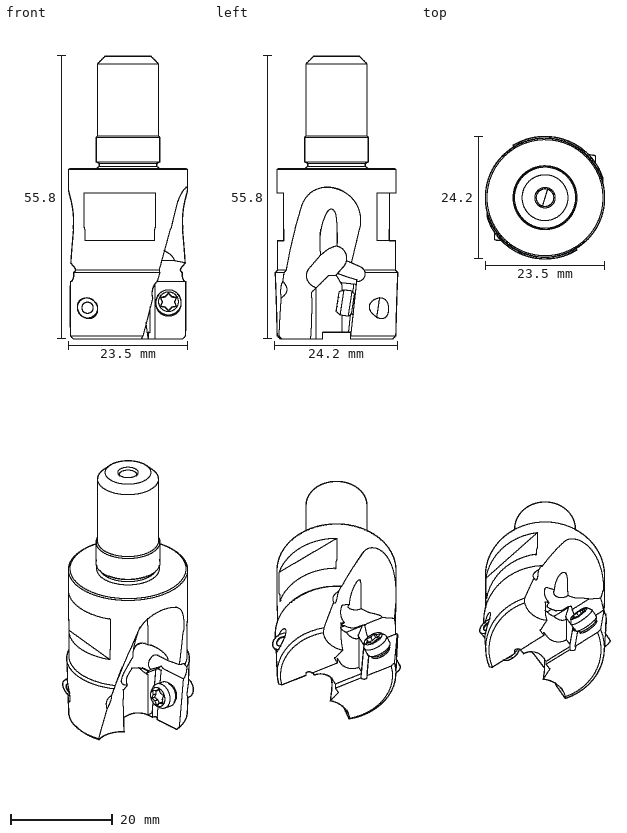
import cadquery as cq
import math

total_length = 55.75
shank_r = 6.0
shank_chamfer = 1.5
collar_r = 6.3
collar_top = 40.0
collar_bottom = 34.9
collar_edge = 0.3
neck_r = 5.7
neck_base_r = 6.2
neck_height = 0.45
shoulder_z = 33.6
body_r = 11.75
body_edge_width = 0.35
body_edge_height = 0.2
waist_r = 11.65
waist_top = 21.5
waist_step = 0.5
waist_bottom = 13.6
head_r = 12.1
head_top = 13.1
head_end_r = 11.7
end_chamfer = 0.65

flat_distance = 9.35
flat_angle = -10.0
flat_bottom = 19.4
flat_top = 28.75

flute_r = 5.95
flute_corner_r = 4.45
flute_depth = 5.75
flute_end = (-11.65, 1.35, 23.75)
flute_lean = 14.5
flute_drop = 14.5
flute_yaw = 23.0
flute_length = 33.45
flute_open = 11.15

seat_y = -2.75
seat_tilt = 6.2
pocket_wall_x = -4.35
wall_height = 1.6
hollow_r = 2.75
seat_height = 6.7
pocket_side_y = 4.0
pocket_flare = 25.0
seat_top = 13.4
seat_corner = 2.5
roof_outline = ((6.7, 7.45), (1.55, 12.55), (0.0, 12.55), (-1.4, 10.15))
relief_x = -4.7
relief_r = 0.6
end_slot_depth = 1.35

pocket_groove_r = 1.5
pocket_groove_floor = -4.75
pocket_groove_ends = ((-4.1, 12.9), (-0.2, 14.6))
flute_groove_r = 2.45
flute_groove_floor = -2.25
flute_groove_ends = ((3.55, 12.35), (0.45, 15.95))

screw_x = -7.95
screw_tip = (-8.2, 6.2)
screw_tilt = 8.6
shank_length = 5.0
screw_r = 2.0
head_flare = 0.55
head_rim = 1.6
head_crown = 0.9
screw_head_r = 2.5
crown_r = 1.95
access_r = 3.25
star_tip_r = 1.8
star_valley_r = 1.2
star_points = 6
star_depth = 0.85
tip_recess_r = 1.1
tip_recess_depth = 0.15

coolant_r = 1.7
coolant_mouth_r = 2.0
coolant_mouth_depth = 0.5
coolant_split = 52.4
coolant_exit = (-4.6, 1.45, 21.75)
coolant_overrun = 1.3

side_angles = (0, 180)
far = 33.45


def turned(shape, angle):
    return shape.rotate((0, 0, 0), (0, 0, 1), angle)


def turned_blank():
    points = [
        (0, 0),
        (head_end_r - end_chamfer, 0),
        (head_end_r, end_chamfer),
        (head_r, head_top),
        (waist_r, waist_bottom),
        (waist_r, waist_top),
        (body_r, waist_top + waist_step),
        (body_r, shoulder_z - body_edge_height),
        (body_r - body_edge_width, shoulder_z),
        (neck_base_r, shoulder_z),
        (neck_r, shoulder_z + neck_height),
        (neck_r, collar_bottom - collar_edge),
        (collar_r, collar_bottom),
        (collar_r, collar_top - collar_edge),
        (shank_r, collar_top),
        (shank_r, total_length - shank_chamfer),
        (shank_r - shank_chamfer, total_length),
        (0, total_length),
    ]
    return cq.Workplane("XZ").polyline(points).close().revolve(360, (0, 0), (0, 1))


def wrench_flat():
    height = flat_top - flat_bottom
    cutter = cq.Workplane("XY").box(2 * far, far, height, centered=(True, False, False))
    return turned(cutter.translate((0, flat_distance, flat_bottom)), flat_angle)


def flute():
    """Round-ended bull-nose cut, made with its floor facing -X and then turned into place."""
    plane = cq.Plane(origin=(flute_depth, 0, 0), xDir=(0, 0, -1), normal=(-1, 0, 0))
    cutter = (
        cq.Workplane(plane)
        .center(flute_length / 2, 0)
        .slot2D(flute_length + 2 * flute_r, 2 * flute_r)
        .extrude(flute_depth + flute_open)
        .faces(">X").edges().fillet(flute_corner_r)
    )
    cutter = cutter.rotate((0, 0, 0), (1, 0, 0), flute_lean)
    cutter = cutter.rotate((0, 0, 0), (0, 1, 0), -flute_drop)
    return turned(cutter, flute_yaw).translate(flute_end)


def seat_cut():
    """Tilted insert seat with an undercut groove along its inner corner."""
    seat = (
        cq.Workplane("XY")
        .box(far, seat_height, far + seat_top, centered=False)
        .translate((pocket_wall_x - far, seat_y, -far))
        .edges("|Y and >X and >Z").chamfer(seat_corner)
    )
    relief = (
        cq.Workplane("XY").workplane(offset=-far)
        .center(relief_x, seat_y)
        .circle(relief_r)
        .extrude(far + seat_top - seat_corner)
    )
    return seat.union(relief).rotate((0, seat_y, 0), (1, seat_y, 0), seat_tilt)


def hollow_cut():
    """Upright rounded hollow beside the seat, closed above by a V-shaped roof."""
    hollow_y = seat_y + wall_height
    hollow_x = pocket_wall_x + hollow_r
    hollow = (
        cq.Workplane("XY").workplane(offset=-far)
        .moveTo(-far, hollow_y)
        .lineTo(pocket_wall_x, hollow_y)
        .radiusArc((hollow_x, hollow_y + hollow_r), -hollow_r)
        .lineTo(hollow_x, pocket_side_y)
        .lineTo(-far, pocket_side_y + (far + hollow_x) * math.tan(math.radians(pocket_flare)))
        .close()
        .extrude(2 * far)
    )
    under_roof = (
        cq.Workplane("YZ")
        .polyline([(roof_outline[0][0], -far), *roof_outline, (roof_outline[-1][0], -far)])
        .close()
        .extrude(-far)
    )
    return hollow.intersect(under_roof)


def ball_nose_groove(ends, radius, floor_x):
    """Slot between two (Y, Z) points, open towards -X, with a fully round floor."""
    (y0, z0), (y1, z1) = ends
    run = math.hypot(y1 - y0, z1 - z0)
    plane = cq.Plane(
        origin=(floor_x - radius, y0, z0), xDir=(0, y1 - y0, z1 - z0), normal=(-1, 0, 0)
    )
    bed = cq.Workplane(plane)
    slot = bed.center(run / 2, 0).slot2D(run + 2 * radius, 2 * radius).extrude(far)
    trough = cq.Workplane(cq.Plane(origin=plane.origin, xDir=(1, 0, 0), normal=plane.xDir))
    slot = slot.union(trough.circle(radius).extrude(run))
    for distance in (0, run):
        slot = slot.union(bed.center(distance, 0).sphere(radius))
    return slot


def screw_plane():
    tilt = math.radians(screw_tilt)
    return cq.Plane(
        origin=(screw_x, *screw_tip), xDir=(1, 0, 0), normal=(0, math.cos(tilt), math.sin(tilt))
    )


def screw_bore():
    """Through hole for the screw, plus driver access in front of the seat."""
    bore = cq.Workplane(screw_plane()).circle(screw_r).extrude(far, both=True)
    access = cq.Workplane(screw_plane()).workplane(offset=shank_length).circle(access_r).extrude(far)
    return bore.union(access)


def clamping_screw():
    rim_start = shank_length + head_flare
    rim_end = rim_start + head_rim
    top = rim_end + head_crown
    plane = screw_plane()
    profile_plane = cq.Plane(origin=plane.origin, xDir=(1, 0, 0), normal=plane.yDir.multiply(-1))
    profile = [
        (0, 0),
        (screw_r, 0),
        (screw_r, shank_length),
        (screw_head_r, rim_start),
        (screw_head_r, rim_end),
        (crown_r, top),
        (0, top),
    ]
    screw = cq.Workplane(profile_plane).polyline(profile).close().revolve(360, (0, 0), (0, 1))
    star = []
    for corner in range(2 * star_points):
        radius = star_valley_r if corner % 2 else star_tip_r
        angle = math.pi / 2 + corner * math.pi / star_points
        star.append((radius * math.cos(angle), radius * math.sin(angle)))
    floor = cq.Workplane(plane).workplane(offset=top - star_depth)
    socket = floor.polyline(star).close().extrude(2 * star_depth)
    recess = cq.Workplane(plane).circle(tip_recess_r).extrude(tip_recess_depth)
    return screw.cut(socket).cut(recess)


def coolant_mouth():
    profile = [
        (0, coolant_split),
        (coolant_r, coolant_split),
        (coolant_r, total_length - coolant_mouth_depth),
        (coolant_mouth_r, total_length),
        (0, total_length),
    ]
    return cq.Workplane("XZ").polyline(profile).close().revolve(360, (0, 0), (0, 1))


def coolant_branch():
    start = cq.Vector(0, 0, coolant_split)
    run = cq.Vector(*coolant_exit) - start
    plane = cq.Plane(origin=start, normal=run)
    return cq.Workplane(plane).circle(coolant_r).extrude(run.Length * coolant_overrun)


def cutter_body():
    """Turned body with a slot across its end and every side feature cut on both sides."""
    end_slot = cq.Workplane("XY").box(2 * far, -2 * seat_y, 2 * end_slot_depth)
    body = turned_blank().cut(end_slot).cut(coolant_mouth())
    side_cuts = [
        wrench_flat(),
        flute(),
        seat_cut(),
        hollow_cut(),
        ball_nose_groove(pocket_groove_ends, pocket_groove_r, pocket_groove_floor),
        ball_nose_groove(flute_groove_ends, flute_groove_r, flute_groove_floor),
        screw_bore(),
        coolant_branch(),
    ]
    for cut in side_cuts:
        for angle in side_angles:
            body = body.cut(turned(cut, angle))
    return body


body = cutter_body()
screws = [turned(clamping_screw(), angle) for angle in side_angles]
result = cq.Compound.makeCompound([body.val(), *[screw.val() for screw in screws]])